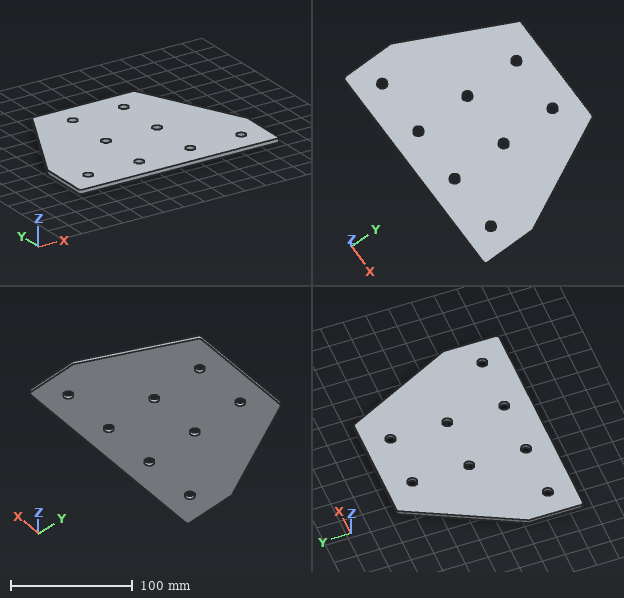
import cadquery as cq

width = 196.0
depth = 146.0
thickness = 4.0
top_width = 100.0
side_height = 48.6
corner_radius = 3.0

hole_diameter = 8.5
hole_pitch = 50.0
columns = 4
rows = 3
inner_columns = (1, 2)


def tapered_plate():
    """T-joint plate: straight lower sides, then slanted up to a narrower top edge."""
    shoulder_y = side_height - depth / 2
    outline = [
        (-width / 2, -depth / 2),
        (width / 2, -depth / 2),
        (width / 2, shoulder_y),
        (top_width / 2, depth / 2),
        (-top_width / 2, depth / 2),
        (-width / 2, shoulder_y),
    ]
    plate = cq.Workplane("XY").polyline(outline).close().extrude(thickness)
    return plate.edges("|Z").fillet(corner_radius)


def hole_centers():
    """Full bottom row; only the inner columns in the rows above."""
    centers = []
    for row in range(rows):
        for column in range(columns):
            if row == 0 or column in inner_columns:
                x = (column - (columns - 1) / 2) * hole_pitch
                y = (row - (rows - 1) / 2) * hole_pitch
                centers.append((x, y))
    return centers


plate_top = tapered_plate().faces(">Z").workplane(origin=(0, 0, 0))
result = plate_top.pushPoints(hole_centers()).hole(hole_diameter)